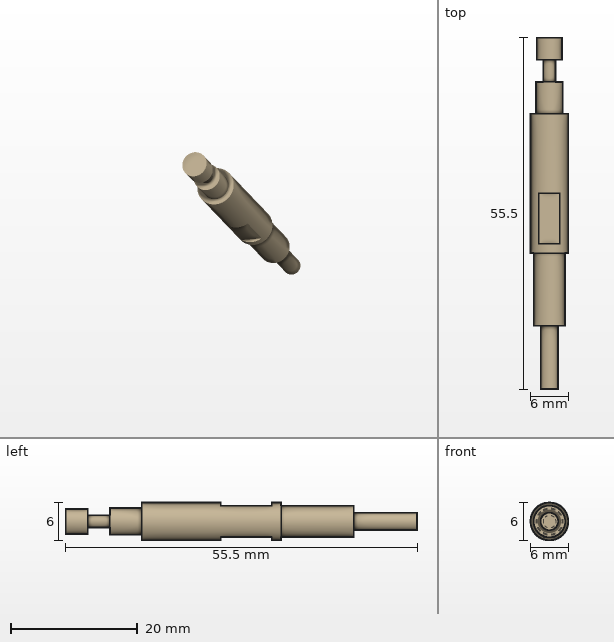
import cadquery as cq

total_length = 55.5
pin_diameter, pin_length = 2.8, 10.0
sleeve_diameter, sleeve_length = 5.0, 11.5
body_diameter, body_length = 6.0, 22.05
collar_diameter, collar_length = 4.3, 5.0
neck_diameter, neck_length = 2.0, 3.5
head_diameter = 4.0
head_length = total_length - (
    pin_length + sleeve_length + body_length + collar_length + neck_length
)

flat_length = 8.0
flat_lip = 1.5
across_flats = sleeve_diameter


def stepped_shaft(sections):
    """Stack coaxial cylinders along +Y from the pin tip."""
    start = -total_length / 2
    shaft = cq.Workplane("XY")
    for diameter, length in sections:
        cylinder = cq.Solid.makeCylinder(
            diameter / 2, length, cq.Vector(0, start, 0), cq.Vector(0, 1, 0)
        )
        shaft = shaft.union(cq.Workplane(cylinder))
        start += length
    return shaft


def flat_cutter(side):
    """Block removing the body above (+1) or below (-1) a flat."""
    flat_start = -total_length / 2 + pin_length + sleeve_length + flat_lip
    height = body_diameter / 2
    centre_y = flat_start + flat_length / 2
    centre_z = side * (across_flats + height) / 2
    block = cq.Workplane("XY").box(body_diameter, flat_length, height)
    return block.translate((0, centre_y, centre_z))


result = stepped_shaft([
    (pin_diameter, pin_length),
    (sleeve_diameter, sleeve_length),
    (body_diameter, body_length),
    (collar_diameter, collar_length),
    (neck_diameter, neck_length),
    (head_diameter, head_length),
])
for side in (1, -1):
    result = result.cut(flat_cutter(side))